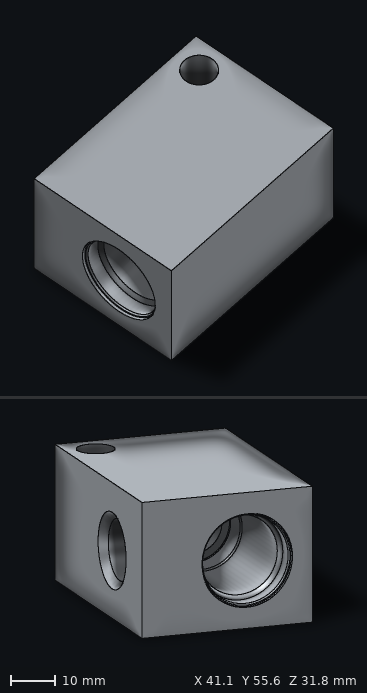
import cadquery as cq

LENGTH_X = 41.15
LENGTH_Y = 55.58
HEIGHT_Z = 31.75
MID_Z = HEIGHT_Z / 2

CAVITY_X = 25.4
SPOTFACE_RADIUS = 10.9
SPOTFACE_DEPTH = 0.8
THREAD_CHAMFER_RADIUS = 10.6
THREAD_RADIUS = 10.3
THREAD_START = 1.25
THREAD_END = 4.6
MAIN_RADIUS = 9.35
MAIN_START = 5.6
MAIN_END = 28.0
SEAL_LEAD_IN_RADIUS = 8.97
SEAL_RADIUS = 8.77
SEAL_END = 34.0
SEAT_RADIUS = 8.56
THROUGH_RADIUS = 6.75

PORT_Y = 19.05
PORT_RADIUS = 7.14
PORT_CHAMFER = 1.79

MOUNT_RADIUS = 4.37
MOUNT_INSET = 7.14


def make_block():
    return cq.Workplane("XY").box(LENGTH_X, LENGTH_Y, HEIGHT_Z, centered=False)


def make_cavity():
    """Body of revolution about the cavity axis; profile points are (radius, depth).

    Conical 45 degree steps lead into the tapered seal bore and down to the flat seat.
    """
    seal_start = MAIN_END + MAIN_RADIUS - SEAL_LEAD_IN_RADIUS
    seat_start = SEAL_END - (SEAL_RADIUS - SEAT_RADIUS)
    profile = [
        (0, 0),
        (SPOTFACE_RADIUS, 0),
        (SPOTFACE_RADIUS, SPOTFACE_DEPTH),
        (THREAD_CHAMFER_RADIUS, SPOTFACE_DEPTH),
        (THREAD_RADIUS, THREAD_START),
        (THREAD_RADIUS, THREAD_END),
        (MAIN_RADIUS, MAIN_START),
        (MAIN_RADIUS, MAIN_END),
        (SEAL_LEAD_IN_RADIUS, seal_start),
        (SEAL_RADIUS, seat_start),
        (SEAT_RADIUS, SEAL_END),
        (THROUGH_RADIUS, SEAL_END),
        (THROUGH_RADIUS, LENGTH_Y),
        (0, LENGTH_Y),
    ]
    cavity = cq.Workplane("XY").polyline(profile).close().revolve(360, (0, 0, 0), (0, 1, 0))
    return cavity.translate((CAVITY_X, 0, MID_Z))


def make_side_port():
    """Chamfered cylinder that ends on the cavity axis."""
    profile = [
        (0, 0),
        (0, PORT_RADIUS + PORT_CHAMFER),
        (PORT_CHAMFER, PORT_RADIUS),
        (CAVITY_X, PORT_RADIUS),
        (CAVITY_X, 0),
    ]
    port = cq.Workplane("XY").polyline(profile).close().revolve(360, (0, 0, 0), (1, 0, 0))
    return port.translate((0, PORT_Y, MID_Z))


def make_mounting_hole():
    hole = cq.Workplane("XY").circle(MOUNT_RADIUS).extrude(HEIGHT_Z)
    return hole.translate((MOUNT_INSET, LENGTH_Y - MOUNT_INSET, 0))


result = make_block().cut(make_cavity()).cut(make_side_port()).cut(make_mounting_hole())